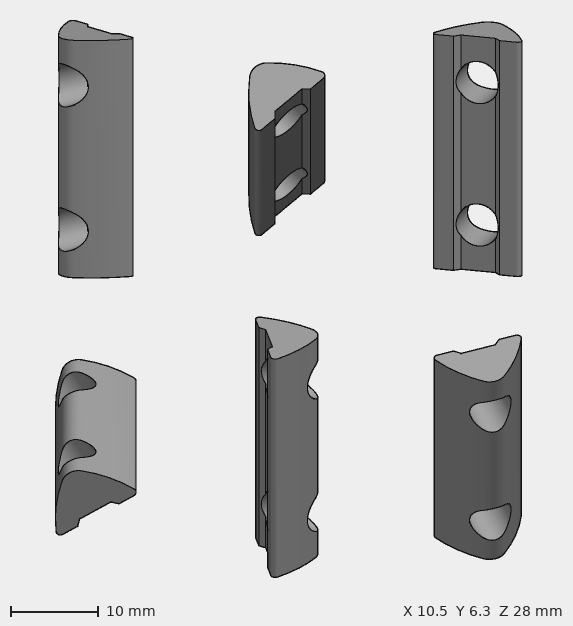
import cadquery as cq
import math

length = 28.0
width = 10.5
depth = 6.3
corner_radius = 0.5
nose_radius = 2.0
nose_half_angle = 41.0
groove_floor_width = 4.15
groove_depth = 0.67
hole_diameter = 5.0
hole_end_distance = 5.5


def point_on_arc(center, radius, angle):
    """Point at an angle, in radians, measured from -Y towards +X."""
    return (center[0] + radius * math.sin(angle), center[1] - radius * math.cos(angle))


def mirrored(point):
    return (-point[0], point[1])


nose_center = (0.0, nose_radius - depth)
corner_center = (width / 2 - corner_radius, -corner_radius)

nose_angle = math.radians(nose_half_angle)
offset_x = corner_center[0] - nose_center[0]
offset_y = corner_center[1] - nose_center[1]
radius_step = nose_radius - corner_radius
offset_along_normal = offset_y * math.cos(nose_angle) - offset_x * math.sin(nose_angle)
center_distance = (offset_x**2 + offset_y**2 - radius_step**2) / (2 * (radius_step + offset_along_normal))
flank_radius = nose_radius + center_distance
flank_center = point_on_arc(nose_center, -center_distance, nose_angle)
flank_end_angle = math.atan2(corner_center[0] - flank_center[0], flank_center[1] - corner_center[1])

nose_tip = (0.0, -depth)
nose_end = point_on_arc(nose_center, nose_radius, nose_angle)
flank_middle = point_on_arc(flank_center, flank_radius, (nose_angle + flank_end_angle) / 2)
flank_end = point_on_arc(flank_center, flank_radius, flank_end_angle)
corner_middle = point_on_arc(corner_center, corner_radius, (flank_end_angle + math.pi) / 2)
corner_end = (corner_center[0], 0.0)
groove_edge = (groove_floor_width / 2 + groove_depth, 0.0)
groove_floor_end = (groove_floor_width / 2, -groove_depth)

bar = (
    cq.Workplane("XY")
    .moveTo(*mirrored(nose_end))
    .threePointArc(nose_tip, nose_end)
    .threePointArc(flank_middle, flank_end)
    .threePointArc(corner_middle, corner_end)
    .lineTo(*groove_edge)
    .lineTo(*groove_floor_end)
    .lineTo(*mirrored(groove_floor_end))
    .lineTo(*mirrored(groove_edge))
    .lineTo(*mirrored(corner_end))
    .threePointArc(mirrored(corner_middle), mirrored(flank_end))
    .threePointArc(mirrored(flank_middle), mirrored(nose_end))
    .close()
    .extrude(length)
)

holes = (
    cq.Workplane("XZ")
    .pushPoints([(0, hole_end_distance), (0, length - hole_end_distance)])
    .circle(hole_diameter / 2)
    .extrude(depth)
)

result = bar.cut(holes)